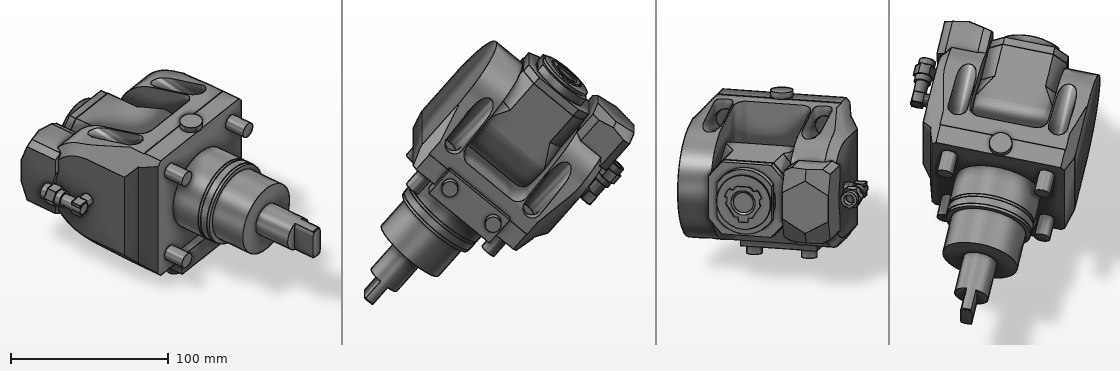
import cadquery as cq
import math


FORK_TOP = 45.7
FORK_FAR_Y = 46.8
FORK_NEAR_Y = -53.0
PIVOT_X = -48.0
NOSE_RADIUS = 38.0
FORK_TAPER = math.radians(15)
BEVEL_Z = 31.3
BEVEL_SLOPE = 1.17
FACE_END_X = -19.2

PLATE_TOP = 46.0
PLATE_THICKNESS = 13.0
PLATE_TAPER_START_X = -11.6
PLATE_BACK_Y = 43.0
PLATE_FRONT_Y = 46.6

SLOT_HALF_WIDTH = 25.3
SLOT_BACK_X = -24.0
SLOT_CORNER_RADIUS = 7.5

FLANGE_SCREW_Z = 32.9
POCKET_Y = 32.5
POCKET_END_X = -22.0
POCKET_RADIUS = 6.2
POCKET_TILT = 11

HEAD_HALF_HEIGHT = 24.0
HEAD_FRONT_X = -91.7
COVER_JOINT_X = -86.5
COVER_INSET = 0.4
HEAD_BEVEL_END_X = -63.7
HEAD_BEVEL_WIDTH = 8.9
HEAD_BEVEL_HEIGHT = 9.9

COLLAR_RADIUS = 21.0
COLLAR_HALF_WIDTH = 17.8
COLLAR_FRONT_X = -97.1
COVER_BORE_RADIUS = 19.0
COVER_BORE_DEPTH = 1.0
RING_RADIUS = 17.6
RING_FRONT_X = -98.9
FRONT_X = -99.8
LOBE_RADIUS = 12.5
SPINDLE_BORE_RADIUS = 8.0
SPINDLE_BORE_FLOOR_RADIUS = 6.5
SPINDLE_BORE_DEPTH = 0.8

BLOCK_OUTER_Y = -56.0
BLOCK_INNER_Y = -25.5
BLOCK_HALF_HEIGHT = 24.2
BLOCK_END_X = -72.2
BLOCK_BEVEL_WIDTH = 5.0
BLOCK_BEVEL_HEIGHT = 2.7
BLOCK_CLEARANCE_RADIUS = 26.3
BLOCK_HEX_APOTHEM = 14.9
BLOCK_HEX_TAPER = math.radians(23)

SHANK_RADIUS = 27.7
SHOULDER_RADIUS = 27.3
SHOULDER_START_X = 20.0
RING_START_X = 21.9
RING_END_X = 26.9
SHOULDER_END_X = 28.8
NECK_RADIUS = 24.2
NECK_END_X = 53.2
SHAFT_RADIUS = 10.8
TANG_START_X = 78.8
SHAFT_END_X = 93.7
SHAFT_CHAMFER = 0.5
TANG_HALF_THICKNESS = 3.7
TANG_FLAT_Z = 7.5
TANG_EDGE_Y = 2.9

FLANGE_SCREW_RADIUS = 5.0
FLANGE_SCREW_LENGTH = 14.1
FLANGE_SCREW_Y = 31.5
PIN_RADIUS = 7.2
PIN_X = -7.0
PIN_TOP_Z = 50.0
BRACKET_FRONT_X = -14.5
BRACKET_BACK_X = 5.5
BRACKET_BOTTOM_Z = -52.0
BRACKET_LIP_TOP_Z = -37.7
BRACKET_HALF_WIDTH = 25.2
BRACKET_SCREW_RADIUS = 5.0
BRACKET_SCREW_X = -6.5
BRACKET_SCREW_Y = 18.0
BRACKET_SCREW_END_Z = -58.0

FITTING_Y = -62.7
STEM_X = -48.5
STEM_RADIUS = 4.0
ELBOW_FRONT_X = -51.5
ELBOW_BACK_X = -44.5
ELBOW_HALF_WIDTH = 3.5
ELBOW_HALF_HEIGHT = 4.5
ARM_RADIUS = 4.0
ARM_BACK_X = -44.1
SLEEVE_FRONT_X = -75.3
SLEEVE_BACK_X = -60.0
SLEEVE_RADIUS = 5.2
FITTING_HEX_FRONT_X = -70.8
FITTING_HEX_BACK_X = -64.0
FITTING_HEX_ACROSS_CORNERS = 13.5
FITTING_BORE_RADIUS = 3.3
FITTING_BORE_DEPTH = 5.8


def box(x0, x1, y0, y1, z0, z1):
    return cq.Workplane("XY").box(x1 - x0, y1 - y0, z1 - z0, centered=False).translate((x0, y0, z0))


def rod_x(radius, x0, x1, y=0.0, z=0.0):
    return cq.Workplane("YZ", origin=(x0, y, z)).circle(radius).extrude(x1 - x0)


def rod_y(radius, y0, y1, x, z=0.0):
    return cq.Workplane("XZ", origin=(x, y0, z)).circle(radius).extrude(y0 - y1)


def rod_z(radius, z0, z1, x, y=0.0):
    return cq.Workplane("XY", origin=(x, y, z0)).circle(radius).extrude(z1 - z0)


def polyhedron(points, faces):
    sides = []
    for face in faces:
        outline = cq.Wire.makePolygon([cq.Vector(*points[i]) for i in face], close=True)
        sides.append(cq.Face.makeFromWires(outline))
    return cq.Workplane(obj=cq.Solid.makeSolid(cq.Shell.makeShell(sides)))


def octagon(half_width, half_height, corner_y, corner_z):
    """Section across X: its sides end at height corner_z, its top and bottom at width corner_y."""
    return [
        (corner_y, half_height), (half_width, corner_z),
        (half_width, -corner_z), (corner_y, -half_height),
        (-corner_y, -half_height), (-half_width, -corner_z),
        (-half_width, corner_z), (-corner_y, half_height),
    ]


def bevel_y(z):
    """Distance from the middle plane at which the long bevel has the height z."""
    return -FORK_NEAR_Y - (z - BEVEL_Z) / BEVEL_SLOPE


def bevelled_section(half_width, half_height):
    """Octagon across the X axis whose corners follow the long bevel."""
    corner_y = bevel_y(half_height)
    corner_z = BEVEL_Z + (-FORK_NEAR_Y - half_width) * BEVEL_SLOPE
    return octagon(half_width, half_height, corner_y, corner_z)


def fork_side_profile():
    tangent_x = PIVOT_X - NOSE_RADIUS * math.sin(FORK_TAPER)
    tangent_z = NOSE_RADIUS * math.cos(FORK_TAPER)
    shoulder_x = tangent_x + (FORK_TOP - tangent_z) / math.tan(FORK_TAPER)
    return (
        cq.Workplane("XZ", origin=(0, FORK_FAR_Y, 0))
        .moveTo(0, FORK_TOP)
        .lineTo(shoulder_x, FORK_TOP)
        .lineTo(tangent_x, tangent_z)
        .threePointArc((PIVOT_X - NOSE_RADIUS, 0), (tangent_x, -tangent_z))
        .lineTo(shoulder_x, -FORK_TOP)
        .lineTo(0, -FORK_TOP)
        .close()
        .extrude(FORK_FAR_Y - FORK_NEAR_Y)
    )


def fork_envelope():
    """Straight bevel behind the pivot, turning into a cone around the nose."""
    section = bevelled_section(-FORK_NEAR_Y, FORK_TOP)
    straight = cq.Workplane("YZ", origin=(PIVOT_X, 0, 0)).polyline(section).close().extrude(-PIVOT_X)
    corner_y = bevel_y(FORK_TOP)
    nose = (
        cq.Workplane("XY", origin=(PIVOT_X, 0, 0))
        .polyline([(0, FORK_NEAR_Y), (-BEVEL_Z, FORK_NEAR_Y), (-FORK_TOP, -corner_y),
                   (-FORK_TOP, FORK_FAR_Y), (0, FORK_FAR_Y)])
        .close()
        .revolve(360, (0, 0, 0), (0, 1, 0))
    )
    front_half = box(PIVOT_X - FORK_TOP, PIVOT_X, FORK_NEAR_Y, FORK_FAR_Y, -FORK_TOP, FORK_TOP)
    return straight.union(nose.intersect(front_half))


def fork_plan():
    """Top outline: the cheeks lean in to the width of the flange plate."""
    lean_start_x = -PLATE_THICKNESS
    outline = [
        (PIVOT_X - NOSE_RADIUS, FORK_FAR_Y), (lean_start_x, FORK_FAR_Y),
        (lean_start_x, -PLATE_FRONT_Y), (FACE_END_X, FORK_NEAR_Y),
        (PIVOT_X - NOSE_RADIUS, FORK_NEAR_Y),
    ]
    return cq.Workplane("XY", origin=(0, 0, -FORK_TOP)).polyline(outline).close().extrude(2 * FORK_TOP)


def flange_plate():
    outline = [
        (-PLATE_THICKNESS, PLATE_FRONT_Y), (PLATE_TAPER_START_X, PLATE_FRONT_Y), (0, PLATE_BACK_Y),
        (0, -PLATE_BACK_Y), (PLATE_TAPER_START_X, -PLATE_FRONT_Y), (-PLATE_THICKNESS, -PLATE_FRONT_Y),
    ]
    plan = cq.Workplane("XY", origin=(0, 0, -PLATE_TOP)).polyline(outline).close().extrude(2 * PLATE_TOP)
    section = bevelled_section(PLATE_FRONT_Y, PLATE_TOP)
    bevels = cq.Workplane("YZ", origin=(-PLATE_THICKNESS, 0, 0)).polyline(section).close()
    return plan.intersect(bevels.extrude(PLATE_THICKNESS))


def fork_slot():
    front_x = PIVOT_X - NOSE_RADIUS - 2
    slot = box(front_x, SLOT_BACK_X, -SLOT_HALF_WIDTH, SLOT_HALF_WIDTH, -FORK_TOP, FORK_TOP)
    return slot.edges("|Z and >X").fillet(SLOT_CORNER_RADIUS)


def screw_pocket(side_y, side_z):
    """Round-ended slot that opens a tilted, flat-ended bore towards the outside."""
    front_x = PIVOT_X - NOSE_RADIUS
    length = POCKET_END_X - front_x
    end_center_x = POCKET_END_X - POCKET_RADIUS
    plan = box(front_x, end_center_x, -POCKET_RADIUS, POCKET_RADIUS, 0, FORK_TOP)
    plan = plan.union(rod_z(POCKET_RADIUS, 0, FORK_TOP, end_center_x))

    bore = rod_x(POCKET_RADIUS, -2 * length, 0)
    above = box(-2 * length, length, -2 * POCKET_RADIUS, 2 * POCKET_RADIUS, 0, length)
    bore, above = (
        shape.rotate((0, 0, 0), (0, 1, 0), POCKET_TILT).translate((POCKET_END_X, 0, FLANGE_SCREW_Z))
        for shape in (bore, above)
    )
    pocket = plan.intersect(above).union(bore)
    if side_z < 0:
        pocket = pocket.mirror("XY")
    return pocket.translate((0, side_y * POCKET_Y, 0))


def housing():
    body = fork_side_profile().intersect(fork_envelope()).intersect(fork_plan())
    body = body.union(flange_plate()).cut(fork_slot())
    for side_y in (-1, 1):
        for side_z in (-1, 1):
            body = body.cut(screw_pocket(side_y, side_z))
    return body


def head_corner_bevel():
    """Bevel of the head's upper +Y corner, running out in a triangle towards the hub."""
    y_in = SLOT_HALF_WIDTH - HEAD_BEVEL_WIDTH
    y_out = SLOT_HALF_WIDTH
    z_top = HEAD_HALF_HEIGHT
    z_low = HEAD_HALF_HEIGHT - HEAD_BEVEL_HEIGHT
    points = [
        (HEAD_FRONT_X, y_in, z_top), (HEAD_FRONT_X, y_out, z_top), (HEAD_FRONT_X, y_out, z_low),
        (HEAD_BEVEL_END_X, y_in, z_top), (HEAD_BEVEL_END_X, y_out, z_low),
        (PIVOT_X, y_out, z_top),
    ]
    return polyhedron(points, [(0, 1, 2), (0, 2, 4, 3), (0, 3, 5, 1), (1, 5, 4, 2), (3, 4, 5)])


def head_cover():
    y_in = SLOT_HALF_WIDTH - HEAD_BEVEL_WIDTH
    z_low = HEAD_HALF_HEIGHT - HEAD_BEVEL_HEIGHT
    outline = octagon(SLOT_HALF_WIDTH, HEAD_HALF_HEIGHT, y_in, z_low)
    cover = cq.Workplane("YZ", origin=(HEAD_FRONT_X, 0, 0)).polyline(outline).close()
    cover = cover.offset2D(-COVER_INSET).extrude(COVER_JOINT_X - HEAD_FRONT_X)
    return cover.cut(rod_x(COVER_BORE_RADIUS, HEAD_FRONT_X, HEAD_FRONT_X + COVER_BORE_DEPTH))


def head():
    width = SLOT_HALF_WIDTH
    block = box(COVER_JOINT_X, PIVOT_X, -width, width, -HEAD_HALF_HEIGHT, HEAD_HALF_HEIGHT)
    block = block.union(rod_y(HEAD_HALF_HEIGHT, -width, width, PIVOT_X))
    bevel = head_corner_bevel()
    for corner in (bevel, bevel.mirror("XY"), bevel.mirror("XZ"), bevel.mirror("XZ").mirror("XY")):
        block = block.cut(corner)
    return block.union(head_cover())


def keyed_insert():
    """Lobed spindle face with one driving key at the bottom."""
    lobe_start, lobe_middle, lobe_end = (
        (LOBE_RADIUS * math.cos(math.radians(a)), LOBE_RADIUS * math.sin(math.radians(a)))
        for a in (44, 30, 16)
    )

    def other_side(point):
        return (-point[0], point[1])

    notch = [(3.9, 10.5), (5.6, 9.5), (6.4, 8.0), (8.0, 8.0)]
    lower = [(10.6, 2.5), (10.6, 0.5), (11.5, -1.4), (5.8, -9.7), (3.5, -9.7), (2.9, -12.8)]
    outline = cq.Workplane("YZ", origin=(FRONT_X, 0, 0)).moveTo(*notch[0])
    for point in notch[1:] + [lobe_start]:
        outline = outline.lineTo(*point)
    outline = outline.threePointArc(lobe_middle, lobe_end)
    for point in lower + [other_side(p) for p in reversed(lower)] + [other_side(lobe_end)]:
        outline = outline.lineTo(*point)
    outline = outline.threePointArc(other_side(lobe_middle), other_side(lobe_start))
    for point in reversed(notch):
        outline = outline.lineTo(*other_side(point))
    return outline.close().extrude(RING_FRONT_X - FRONT_X)


def spindle_nose():
    collar = rod_x(COLLAR_RADIUS, COLLAR_FRONT_X, HEAD_FRONT_X)
    flats = box(COLLAR_FRONT_X, HEAD_FRONT_X, -COLLAR_HALF_WIDTH, COLLAR_HALF_WIDTH,
                -COLLAR_RADIUS, COLLAR_RADIUS)
    ring = rod_x(RING_RADIUS, RING_FRONT_X, HEAD_FRONT_X + COVER_BORE_DEPTH)
    bore = (
        cq.Workplane("YZ", origin=(FRONT_X, 0, 0))
        .circle(SPINDLE_BORE_RADIUS)
        .workplane(offset=SPINDLE_BORE_DEPTH)
        .circle(SPINDLE_BORE_FLOOR_RADIUS)
        .loft()
    )
    return collar.intersect(flats).union(ring).union(keyed_insert()).cut(bore)


def side_block():
    length = BLOCK_END_X - FRONT_X
    middle_y = (BLOCK_OUTER_Y + BLOCK_INNER_Y) / 2
    half_width = (BLOCK_INNER_Y - BLOCK_OUTER_Y) / 2
    section = octagon(half_width, BLOCK_HALF_HEIGHT,
                      half_width - BLOCK_BEVEL_WIDTH, BLOCK_HALF_HEIGHT - BLOCK_BEVEL_HEIGHT)
    block = cq.Workplane("YZ", origin=(FRONT_X, middle_y, 0)).polyline(section).close().extrude(length)

    front_diameter = 2 * BLOCK_HEX_APOTHEM / math.cos(math.pi / 6)
    back_apothem = BLOCK_HEX_APOTHEM + length / math.tan(BLOCK_HEX_TAPER)
    back_diameter = 2 * back_apothem / math.cos(math.pi / 6)
    pyramid = (
        cq.Workplane("YZ", origin=(FRONT_X, middle_y, 0))
        .transformed(rotate=(0, 0, 90))
        .polygon(6, front_diameter)
        .workplane(offset=length)
        .polygon(6, back_diameter)
        .loft()
    )
    clearance = rod_y(BLOCK_CLEARANCE_RADIUS, BLOCK_OUTER_Y, FORK_NEAR_Y, PIVOT_X)
    return block.intersect(pyramid).cut(clearance)


def shaft_tang():
    """Flat tang with bevelled long edges, cut from the end of the drive shaft."""
    section = octagon(TANG_HALF_THICKNESS, SHAFT_RADIUS, TANG_EDGE_Y, TANG_FLAT_Z)
    blade = cq.Workplane("YZ", origin=(TANG_START_X, 0, 0)).polyline(section).close()
    blade = blade.extrude(SHAFT_END_X - TANG_START_X)
    tip = rod_x(SHAFT_RADIUS, TANG_START_X, SHAFT_END_X).faces(">X").chamfer(SHAFT_CHAMFER)
    return blade.intersect(tip)


def shank():
    body = rod_x(SHANK_RADIUS, 0, SHOULDER_START_X)
    body = body.union(rod_x(SHOULDER_RADIUS, SHOULDER_START_X, SHOULDER_END_X))
    body = body.union(rod_x(SHANK_RADIUS, RING_START_X, RING_END_X))
    body = body.union(rod_x(NECK_RADIUS, SHOULDER_END_X, NECK_END_X))
    body = body.union(rod_x(SHAFT_RADIUS, NECK_END_X, TANG_START_X))
    return body.union(shaft_tang())


def flange_screws():
    screws = cq.Workplane("YZ").rect(2 * FLANGE_SCREW_Y, 2 * FLANGE_SCREW_Z, forConstruction=True)
    return screws.vertices().circle(FLANGE_SCREW_RADIUS).extrude(FLANGE_SCREW_LENGTH)


def bottom_bracket():
    """Angle under the flange plate with a lip behind it and two screws below."""
    width = BRACKET_HALF_WIDTH
    bracket = box(BRACKET_FRONT_X, BRACKET_BACK_X, -width, width, BRACKET_BOTTOM_Z, -PLATE_TOP)
    bracket = bracket.union(box(0, BRACKET_BACK_X, -width, width, -PLATE_TOP, BRACKET_LIP_TOP_Z))
    for y in (-BRACKET_SCREW_Y, BRACKET_SCREW_Y):
        screw = rod_z(BRACKET_SCREW_RADIUS, BRACKET_SCREW_END_Z, BRACKET_BOTTOM_Z, BRACKET_SCREW_X, y)
        bracket = bracket.union(screw)
    return bracket


def coolant_fitting():
    """Elbow on the -Y face whose hexagonal nipple points forward."""
    stem = rod_y(STEM_RADIUS, FITTING_Y, FORK_NEAR_Y, STEM_X)
    elbow = box(ELBOW_FRONT_X, ELBOW_BACK_X,
                FITTING_Y - ELBOW_HALF_WIDTH, FITTING_Y + ELBOW_HALF_WIDTH,
                -ELBOW_HALF_HEIGHT, ELBOW_HALF_HEIGHT)
    arm = rod_x(ARM_RADIUS, SLEEVE_BACK_X, ARM_BACK_X, FITTING_Y)
    sleeve = rod_x(SLEEVE_RADIUS, SLEEVE_FRONT_X, SLEEVE_BACK_X, FITTING_Y)
    hexagon = cq.Workplane("YZ", origin=(FITTING_HEX_FRONT_X, FITTING_Y, 0))
    hexagon = hexagon.polygon(6, FITTING_HEX_ACROSS_CORNERS)
    hexagon = hexagon.extrude(FITTING_HEX_BACK_X - FITTING_HEX_FRONT_X)
    bore = rod_x(FITTING_BORE_RADIUS, SLEEVE_FRONT_X, SLEEVE_FRONT_X + FITTING_BORE_DEPTH, FITTING_Y)
    return stem.union(elbow).union(arm).union(sleeve).union(hexagon).cut(bore)


result = housing()
for component in (
    head(),
    spindle_nose(),
    side_block(),
    shank(),
    flange_screws(),
    rod_z(PIN_RADIUS, FORK_TOP, PIN_TOP_Z, PIN_X),
    bottom_bracket(),
    coolant_fitting(),
):
    result = result.union(component)